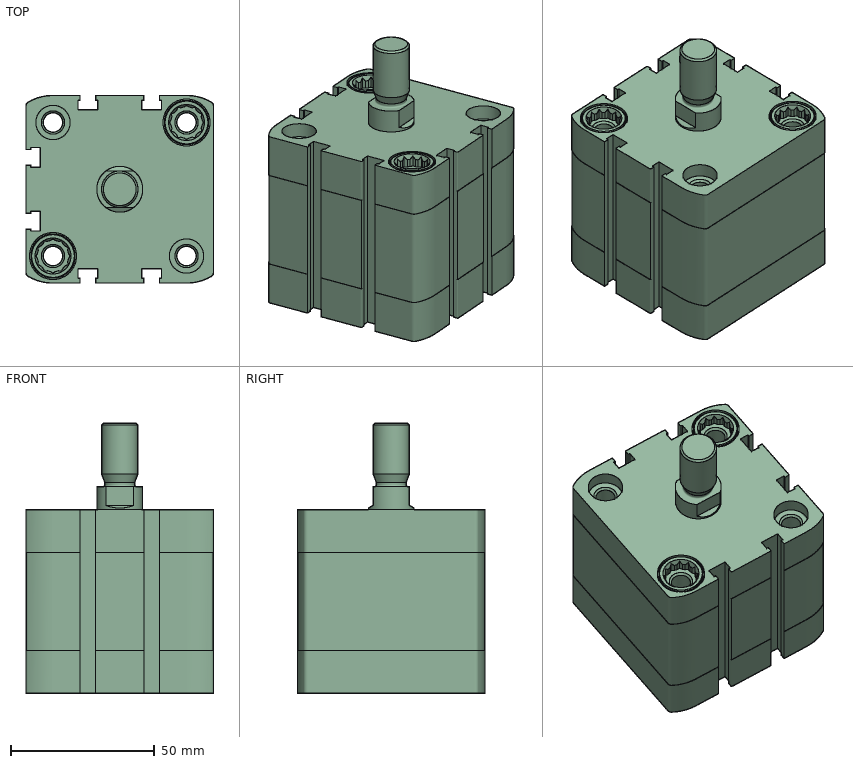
import cadquery as cq
import math

TOTAL_HEIGHT = 94.25
HOUSING_WIDTH = 65.5
HOUSING_HEIGHT = 64.1
HALF_WIDTH = HOUSING_WIDTH / 2

CAP_HEIGHT = 15.0
BARREL_INSET = 0.1
CORNER_RADIUS = 16.5
CORNER_START = 23.5
EDGE_RADIUS = 1.5

SLOT_CENTER = 11.1
SLOT_OPENING = 5.5
SLOT_WIDTH = 6.8
SLOT_LIP = 1.8
SLOT_DEPTH = 5.0
SLOT_EDGE_RADIUS = 0.3

HOLE_OFFSET = 23.3
HOLE_DIAMETER = 6.7
HOLE_MOUTH_DIAMETER = 8.1
COUNTERBORE_DIAMETER = 12.0
COUNTERBORE_DEPTH = 5.0

SLEEVE_GAP_DIAMETER = 16.4
SLEEVE_DIAMETER = 15.5
SLEEVE_TOP_DIAMETER = 14.9
SLEEVE_GAP_DEPTH = 0.9
SLEEVE_CHAMFER_HEIGHT = 0.4
SOCKET_MOUTH_DIAMETER = 12.5
SOCKET_MOUTH_SLOPE = 2.2
SOCKET_TIP_DIAMETER = 12.0
SOCKET_VALLEY_DIAMETER = 10.6
SOCKET_BORE_DIAMETER = 10.9
SOCKET_POINTS = 12
SOCKET_DEPTH = 4.5

ROD_DIAMETER = 16.0
THREAD_DIAMETER = 12.7
NECK_DIAMETER = 10.6
FLAT_SPACING = 12.7
SHOULDER_Z = 72.1
FLAT_Z = 65.6
FLAT_SLOPE = 30.0
NECK_FILLET = 0.6
NECK_TOP_Z = 73.6
THREAD_Z = 76.5
THREAD_CHAMFER = 0.7


def housing_block(half, bottom, height):
    """Prism with wide rounded corners; half is half its width."""
    arc_x = CORNER_START
    arc_y = half - CORNER_RADIUS
    edge_x = half - EDGE_RADIUS
    slant = math.acos((edge_x - arc_x) / (CORNER_RADIUS - EDGE_RADIUS))
    edge_y = arc_y + (CORNER_RADIUS - EDGE_RADIUS) * math.sin(slant)

    def on_large(angle):
        return arc_x + CORNER_RADIUS * math.cos(angle), arc_y + CORNER_RADIUS * math.sin(angle)

    def on_small(angle):
        return edge_x + EDGE_RADIUS * math.cos(angle), edge_y + EDGE_RADIUS * math.sin(angle)

    quarter = (
        cq.Workplane("XY", origin=(0, 0, bottom))
        .lineTo(0, half)
        .lineTo(arc_x, half)
        .threePointArc(on_large((slant + math.pi / 2) / 2), on_large(slant))
        .threePointArc(on_small(slant / 2), (half, edge_y))
        .lineTo(half, 0)
        .close()
        .extrude(height)
    )
    right = quarter.union(quarter.mirror("XZ"))
    return right.union(right.mirror("YZ")).clean()


def slot_pair(half, edge_radius, bottom, height):
    """Cutter for the two T-slots of the +Y face; half is half the width of the block they open into."""
    mouth = SLOT_OPENING / 2
    inner = SLOT_WIDTH / 2
    lip_y = HALF_WIDTH - SLOT_LIP
    floor_y = HALF_WIDTH - SLOT_DEPTH
    slot = (
        cq.Workplane("XY", origin=(SLOT_CENTER, 0, bottom))
        .moveTo(mouth, half)
        .lineTo(mouth, lip_y)
        .lineTo(inner, lip_y)
        .lineTo(inner, floor_y)
        .lineTo(-inner, floor_y)
        .lineTo(-inner, lip_y)
        .lineTo(-mouth, lip_y)
    )
    if edge_radius > 0:
        slot = slot.lineTo(-mouth, half - edge_radius)
        slot = slot.radiusArc((-mouth - edge_radius, half), -edge_radius)
    else:
        slot = slot.lineTo(-mouth, half)
    cutter = slot.close().extrude(height)
    return cutter.union(cutter.mirror("YZ"))


def housing_section(half, edge_radius, bottom, height):
    """Housing block with the T-slots of its +Y, -X and -Y faces."""
    section = housing_block(half, bottom, height)
    pair = slot_pair(half, edge_radius, bottom, height)
    for angle in (0, 90, 180):
        section = section.cut(pair.rotate((0, 0, 0), (0, 0, 1), angle))
    return section


def cone(top_z, top_diameter, bottom_diameter, height):
    return cq.Workplane(cq.Solid.makeCone(
        bottom_diameter / 2, top_diameter / 2, height, cq.Vector(0, 0, top_z - height)))


def cylinder(top_z, diameter, height):
    return cq.Workplane("XY", origin=(0, 0, top_z - height)).circle(diameter / 2).extrude(height)


def bolt_hole(floor_z):
    """Through hole with a conical mouth at floor_z."""
    mouth_height = (HOLE_MOUTH_DIAMETER - HOLE_DIAMETER) / 2
    mouth = cone(floor_z, HOLE_MOUTH_DIAMETER, HOLE_DIAMETER, mouth_height)
    return cylinder(floor_z, HOLE_DIAMETER, floor_z).union(mouth)


def counterbored_hole():
    bore = cylinder(HOUSING_HEIGHT, COUNTERBORE_DIAMETER, COUNTERBORE_DEPTH)
    return bore.union(bolt_hole(HOUSING_HEIGHT - COUNTERBORE_DEPTH))


def socket_hole():
    """Twelve-point socket with a conical mouth, inside a ring groove that sets off the sleeve."""
    star = []
    for i in range(2 * SOCKET_POINTS):
        radius = (SOCKET_VALLEY_DIAMETER if i % 2 else SOCKET_TIP_DIAMETER) / 2
        angle = math.pi * i / SOCKET_POINTS
        star.append((radius * math.cos(angle), radius * math.sin(angle)))
    floor_z = HOUSING_HEIGHT - SOCKET_DEPTH
    socket = cq.Workplane("XY", origin=(0, 0, floor_z)).polyline(star).close().extrude(SOCKET_DEPTH)
    bore = cylinder(HOUSING_HEIGHT, SOCKET_BORE_DIAMETER, SOCKET_DEPTH)
    mouth_height = SOCKET_MOUTH_SLOPE * (SOCKET_MOUTH_DIAMETER - SOCKET_BORE_DIAMETER) / 2
    mouth = cone(HOUSING_HEIGHT, SOCKET_MOUTH_DIAMETER, SOCKET_BORE_DIAMETER, mouth_height)

    sleeve_rim = cone(HOUSING_HEIGHT, SLEEVE_TOP_DIAMETER, SLEEVE_DIAMETER, SLEEVE_CHAMFER_HEIGHT)
    sleeve_side = cylinder(HOUSING_HEIGHT - SLEEVE_CHAMFER_HEIGHT, SLEEVE_DIAMETER, SLEEVE_GAP_DEPTH)
    groove = cylinder(HOUSING_HEIGHT, SLEEVE_GAP_DIAMETER, SLEEVE_GAP_DEPTH)
    groove = groove.cut(sleeve_rim).cut(sleeve_side)
    return socket.union(bore).union(mouth).union(bolt_hole(floor_z)).union(groove)


def make_housing():
    """Barrel and two caps as one solid, with sockets and counterbores at opposite corners."""
    barrel_height = HOUSING_HEIGHT - 2 * CAP_HEIGHT
    top_cap_z = HOUSING_HEIGHT - CAP_HEIGHT
    housing = housing_section(HALF_WIDTH - BARREL_INSET, 0, CAP_HEIGHT, barrel_height)
    for bottom in (0, top_cap_z):
        housing = housing.union(housing_section(HALF_WIDTH, SLOT_EDGE_RADIUS, bottom, CAP_HEIGHT))
    for side in (1, -1):
        housing = housing.cut(socket_hole().translate((side * HOLE_OFFSET, side * HOLE_OFFSET, 0)))
        housing = housing.cut(counterbored_hole().translate((side * HOLE_OFFSET, -side * HOLE_OFFSET, 0)))
    return housing


def wrench_flat():
    """Cutter for the +Y wrench flat, with a sloping run-out at its lower end."""
    flat_y = FLAT_SPACING / 2
    outer_y = ROD_DIAMETER
    drop = (outer_y - flat_y) * math.tan(math.radians(FLAT_SLOPE))
    return (
        cq.Workplane("YZ")
        .moveTo(flat_y, FLAT_Z)
        .lineTo(flat_y, SHOULDER_Z)
        .lineTo(outer_y, SHOULDER_Z)
        .lineTo(outer_y, FLAT_Z - drop)
        .close()
        .extrude(ROD_DIAMETER, both=True)
    )


def make_rod():
    """Rod standing on the housing, with a necked threaded end."""
    neck = NECK_DIAMETER / 2
    thread = THREAD_DIAMETER / 2
    rod = (
        cq.Workplane("XZ")
        .moveTo(0, HOUSING_HEIGHT)
        .lineTo(ROD_DIAMETER / 2, HOUSING_HEIGHT)
        .lineTo(ROD_DIAMETER / 2, SHOULDER_Z)
        .lineTo(neck + NECK_FILLET, SHOULDER_Z)
        .radiusArc((neck, SHOULDER_Z + NECK_FILLET), NECK_FILLET)
        .lineTo(neck, NECK_TOP_Z)
        .lineTo(thread, THREAD_Z)
        .lineTo(thread, TOTAL_HEIGHT - THREAD_CHAMFER)
        .lineTo(thread - THREAD_CHAMFER, TOTAL_HEIGHT)
        .lineTo(0, TOTAL_HEIGHT)
        .close()
        .revolve(360, (0, 0, 0), (0, 1, 0))
    )
    flat = wrench_flat()
    return rod.cut(flat).cut(flat.mirror("XZ"))


housing = make_housing()
rod = make_rod()
result = cq.Compound.makeCompound([housing.val(), rod.val()])